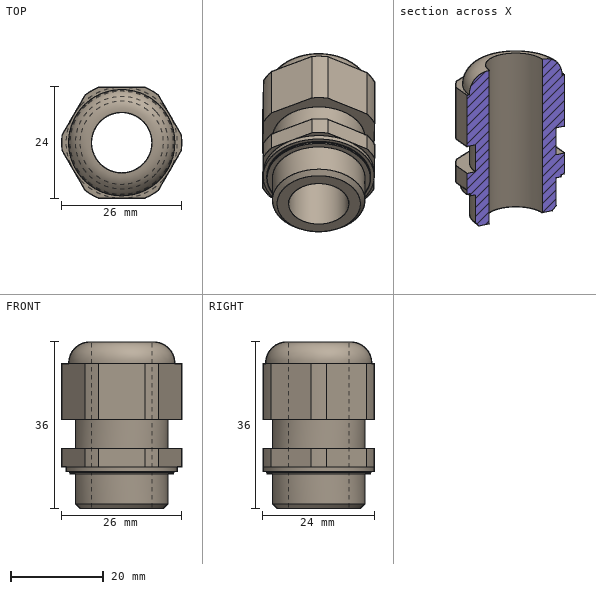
import cadquery as cq

lead_in = 1.0
gasket_bottom_z = 7.5
collar_bottom_z = 8.0
body_hex_bottom_z = 9.0
body_hex_top_z = 13.0
cap_hex_bottom_z = 19.2
cap_hex_top_z = 31.3
total_height = 36.0

bore_diameter = 13.0
body_diameter = 20.0
gasket_diameter = 22.5
gasket_taper_height = 0.25
gasket_taper_inset = 0.1
collar_diameter = 24.0
across_flats = 24.0
across_rounded_corners = 26.0
dome_diameter = 22.95
dome_rim_diameter = 13.75


def cylinder(diameter, bottom_z, top_z):
    """Upright cylinder on the gland axis."""
    return cq.Workplane("XY").workplane(offset=bottom_z).circle(diameter / 2).extrude(top_z - bottom_z)


def rounded_hex(bottom_z, top_z):
    """Hexagonal prism whose corners are turned down to a cylinder."""
    prism = (
        cq.Workplane("XY")
        .workplane(offset=bottom_z)
        .polygon(6, across_flats, circumscribed=True)
        .extrude(top_z - bottom_z)
        .rotate((0, 0, 0), (0, 0, 1), 90)
    )
    return prism.intersect(cylinder(across_rounded_corners, bottom_z, top_z))


body = cylinder(body_diameter, 0, cap_hex_bottom_z).faces("<Z").chamfer(lead_in)

gasket = (
    cylinder(gasket_diameter, gasket_bottom_z, collar_bottom_z)
    .faces("<Z")
    .chamfer(gasket_taper_height, gasket_taper_inset)
)
collar = cylinder(collar_diameter, collar_bottom_z, body_hex_bottom_z)

body_hex = rounded_hex(body_hex_bottom_z, body_hex_top_z)
cap_hex = rounded_hex(cap_hex_bottom_z, cap_hex_top_z)

dome_radius = (dome_diameter - dome_rim_diameter) / 2
dome = cylinder(dome_diameter, cap_hex_top_z, total_height).faces(">Z").edges().fillet(dome_radius)

result = body
for section in (gasket, collar, body_hex, cap_hex, dome):
    result = result.union(section)

result = result.cut(cylinder(bore_diameter, 0, total_height))